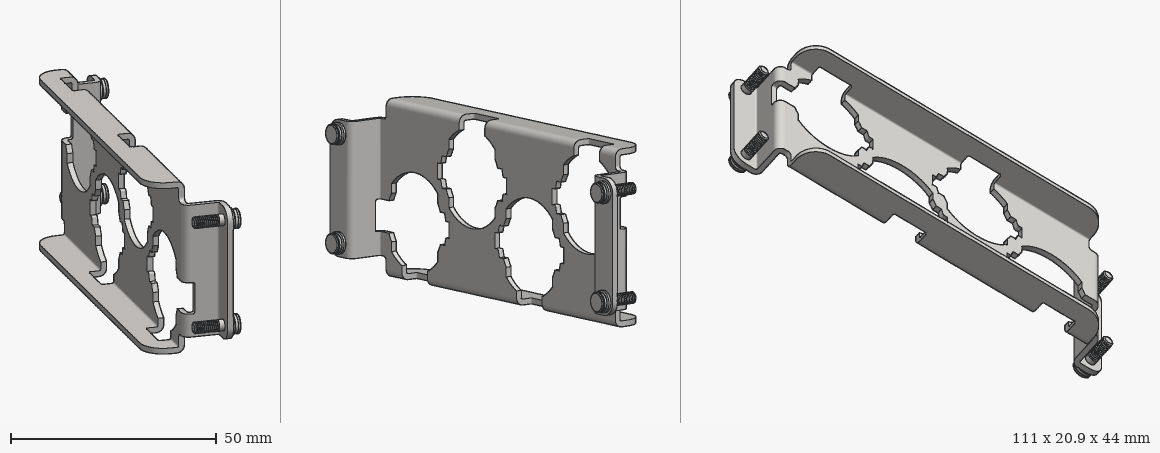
import cadquery as cq
import math

THICKNESS = 1.5
INNER_BEND_RADIUS = 0.5
OUTER_BEND_RADIUS = INNER_BEND_RADIUS + THICKNESS

CHANNEL_LENGTH = 90.0
CHANNEL_HEIGHT = 44.0
FLANGE_DEPTH = 9.5
FLANGE_CORNER_RADIUS = 6.0

OVERALL_LENGTH = 111.0
EAR_HEIGHT = 33.9
EAR_OFFSET = 9.1
EAR_CORNER_RADIUS = 3.5
LEG_OUTER_X = 48.75
LEG_INNER_X = LEG_OUTER_X - THICKNESS
NECK_FILLET = 1.0

OPENING_PITCH = 22.5
OPENING_COUNT = 4
OPENING_OFFSET_Z = 7.0
OPENING_RADIUS = 12.35
OPENING_FLAT_WIDTH = 18.1
SHOULDER_RADIUS = 10.85
SIDE_BAND_HEIGHT = 8.0
SIDE_KEY_WIDTH = 27.0
SIDE_KEY_HEIGHT = 4.0
KEY_FILLET = 0.5
FLANGE_NOTCH_WIDTH = 10.0
FLANGE_NOTCH_DEPTH = 4.6
LEG_SLOT_RISE = 1.4
NOTCH_CORNER_RADIUS = 0.5

SCREW_SPACING_X = 104.0
SCREW_SPACING_Z = 27.0
COLLAR_RADIUS = 2.8
COLLAR_HEIGHT = 0.6
RIM_RADIUS = 2.5
RIM_START = 1.65
GROOVE_RADIUS = 2.35
GROOVE_START = 0.9
HEAD_HEIGHT = 2.34
HEAD_CHAMFER = 0.25
SHANK_LENGTH = 7.65
THREAD_RADIUS = 1.45
THREAD_ROOT_RADIUS = 1.2
THREAD_PITCH = 0.5
THREAD_COUNT = 12
TIP_RADIUS = 1.1
TIP_HEIGHT = 0.3

SIDES = (-1, 1)


def box(x_range, y_range, z_range):
    """Axis-aligned box from its three coordinate ranges."""
    x0, x1 = sorted(x_range)
    y0, y1 = sorted(y_range)
    z0, z1 = sorted(z_range)
    return cq.Workplane("XY").box(x1 - x0, y1 - y0, z1 - z0, centered=False).translate((x0, y0, z0))


def fillet_near(body, radius, *points):
    """Round the edges whose middles lie nearest to the given points."""
    for point in points:
        body = body.edges(cq.selectors.NearestToPointSelector(point)).fillet(radius)
    return body


def make_channel():
    """U-shaped channel: web with a rounded-corner flange along the top and the bottom."""
    half_length = CHANNEL_LENGTH / 2
    half_height = CHANNEL_HEIGHT / 2
    inner_half_height = half_height - THICKNESS
    outer = box((-half_length, half_length), (-FLANGE_DEPTH, 0), (-half_height, half_height))
    inside = box(
        (-half_length, half_length), (-FLANGE_DEPTH, -THICKNESS), (-inner_half_height, inner_half_height)
    )
    channel = outer.cut(inside)
    for side in SIDES:
        channel = fillet_near(channel, OUTER_BEND_RADIUS, (0, 0, side * half_height))
        channel = fillet_near(channel, INNER_BEND_RADIUS, (0, -THICKNESS, side * inner_half_height))
    return channel.edges("|Z and <Y").fillet(FLANGE_CORNER_RADIUS)


def make_left_ear():
    """Z-bent strip: tab in the web plane, leg toward +Y and ear parallel to the web."""
    ear_front = EAR_OFFSET - THICKNESS
    ear_end = -OVERALL_LENGTH / 2
    tab_end = -CHANNEL_LENGTH / 2
    outline = [
        (tab_end, 0),
        (-LEG_INNER_X, 0),
        (-LEG_INNER_X, EAR_OFFSET),
        (ear_end, EAR_OFFSET),
        (ear_end, ear_front),
        (-LEG_OUTER_X, ear_front),
        (-LEG_OUTER_X, -THICKNESS),
        (tab_end, -THICKNESS),
    ]
    ear = cq.Workplane("XY").polyline(outline).close().extrude(EAR_HEIGHT / 2, both=True)
    ear = fillet_near(ear, OUTER_BEND_RADIUS, (-LEG_INNER_X, EAR_OFFSET, 0), (-LEG_OUTER_X, -THICKNESS, 0))
    ear = fillet_near(ear, INNER_BEND_RADIUS, (-LEG_INNER_X, 0, 0), (-LEG_OUTER_X, ear_front, 0))
    return ear.edges("|Y and <X").fillet(EAR_CORNER_RADIUS)


def make_sheet():
    """Channel with both ears, the ear-to-channel corners rounded."""
    left_ear = make_left_ear()
    sheet = make_channel().union(left_ear).union(left_ear.mirror("YZ"))
    for side_x in SIDES:
        for side_z in SIDES:
            corner = (side_x * CHANNEL_LENGTH / 2, -THICKNESS / 2, side_z * EAR_HEIGHT / 2)
            sheet = fillet_near(sheet, NECK_FILLET, corner)
    return sheet


def disc(radius, x, z):
    """Cutter disc through the web, centred at (x, z)."""
    return cq.Workplane("XZ").center(x, z).circle(radius).extrude(THICKNESS)


def web_opening(x, z):
    """Round opening narrowed by flats, with a stepped, round-cornered key on each side."""
    web = (-THICKNESS, 0)

    def centred_box(width, height):
        return box((x - width / 2, x + width / 2), web, (z - height / 2, z + height / 2))

    full_size = 2 * OPENING_RADIUS
    limits = centred_box(OPENING_FLAT_WIDTH, full_size).union(centred_box(full_size, SIDE_BAND_HEIGHT))
    opening = disc(OPENING_RADIUS, x, z).intersect(limits)
    opening = opening.union(disc(SHOULDER_RADIUS, x, z))
    opening = opening.union(centred_box(SIDE_KEY_WIDTH, SIDE_KEY_HEIGHT))
    half_key = SIDE_KEY_HEIGHT / 2
    key_mouth = math.sqrt(OPENING_RADIUS**2 - half_key**2)
    for side_x in SIDES:
        for side_z in SIDES:
            corner = (x + side_x * key_mouth, -THICKNESS / 2, z + side_z * half_key)
            opening = fillet_near(opening, KEY_FILLET, corner)
    return opening


def flange_notch(x, z, side):
    """Slot running from an opening through the flange bend into the flange."""
    half_width = FLANGE_NOTCH_WIDTH / 2
    notch = box((x - half_width, x + half_width), (-FLANGE_NOTCH_DEPTH, 0), (z, side * CHANNEL_HEIGHT / 2))
    return notch.edges("|Z and <Y").fillet(NOTCH_CORNER_RADIUS)


def leg_slot(x, z, side):
    """Slot running from an end opening through the bend into the foot of the leg."""
    half_height = SIDE_BAND_HEIGHT / 2
    slot = box((x, side * LEG_OUTER_X), (-THICKNESS, LEG_SLOT_RISE), (z - half_height, z + half_height))
    return slot.edges("|X and >Y").fillet(NOTCH_CORNER_RADIUS)


def cut_openings(sheet):
    """Cut the row of openings; the first and last also run out through the legs."""
    for index in range(OPENING_COUNT):
        x = (index - (OPENING_COUNT - 1) / 2) * OPENING_PITCH
        side_z = 1 if index % 2 == 0 else -1
        z = side_z * OPENING_OFFSET_Z
        sheet = sheet.cut(web_opening(x, z)).cut(flange_notch(x, z, side_z))
        if index == 0:
            sheet = sheet.cut(leg_slot(x, z, -1))
        if index == OPENING_COUNT - 1:
            sheet = sheet.cut(leg_slot(x, z, 1))
    return sheet


def make_screw():
    """Captive screw on the Y axis, head seated on Y = 0 and threaded shank toward -Y."""
    shank_end = -SHANK_LENGTH - THICKNESS
    thread_start = shank_end + TIP_HEIGHT + THREAD_COUNT * THREAD_PITCH
    profile = (
        cq.Workplane("XY")
        .moveTo(0, HEAD_HEIGHT)
        .lineTo(RIM_RADIUS - HEAD_CHAMFER, HEAD_HEIGHT)
        .lineTo(RIM_RADIUS, HEAD_HEIGHT - HEAD_CHAMFER)
        .lineTo(RIM_RADIUS, RIM_START)
        .lineTo(GROOVE_RADIUS, RIM_START)
        .lineTo(GROOVE_RADIUS, GROOVE_START)
        .lineTo(RIM_RADIUS, GROOVE_START)
        .lineTo(COLLAR_RADIUS, COLLAR_HEIGHT)
        .lineTo(COLLAR_RADIUS, 0)
        .lineTo(THREAD_RADIUS, 0)
        .lineTo(THREAD_RADIUS, thread_start)
    )
    for turn in range(THREAD_COUNT):
        crest = thread_start - turn * THREAD_PITCH
        profile = profile.lineTo(THREAD_ROOT_RADIUS, crest - THREAD_PITCH / 2)
        profile = profile.lineTo(THREAD_RADIUS, crest - THREAD_PITCH)
    profile = profile.lineTo(TIP_RADIUS, shank_end).lineTo(0, shank_end).close()
    return profile.revolve(360, (0, 0, 0), (0, 1, 0))


def add_screws(body):
    """One screw in each corner of the two ears."""
    screw = make_screw()
    for side_x in SIDES:
        for side_z in SIDES:
            place = (side_x * SCREW_SPACING_X / 2, EAR_OFFSET, side_z * SCREW_SPACING_Z / 2)
            body = body.union(screw.translate(place))
    return body


result = add_screws(cut_openings(make_sheet()))